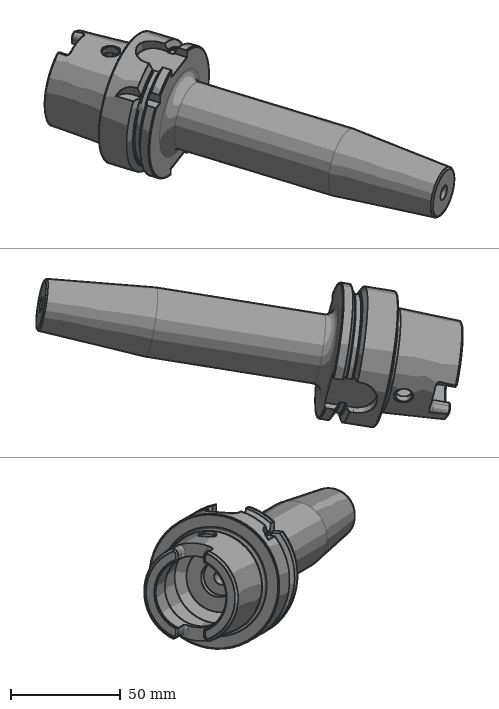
import cadquery as cq
import math

TOTAL_LENGTH = 192.0

TAPER_SLOPE = 0.05
GAUGE_X = 25.7
GAUGE_RADIUS = 24.0
TAPER_END_X = 29.5
TAPER_CHAMFER_LENGTH = 0.8
END_FACE_RADIUS = 21.5

RELIEF_RADIUS = 23.5
RELIEF_START_X = 30.7
RELIEF_DEPTH = 0.8
RELIEF_ARC_X = 31.5
RELIEF_ARC_END_RADIUS = 25.0
RELIEF_OUTER_RADIUS = 25.5

FLANGE_X = 32.0
FLANGE_END_X = 58.0
FLANGE_RADIUS = 31.5
FLANGE_CHAMFER = 0.48
GROOVE_CENTER_X = 50.0
GROOVE_WIDTH = 7.0
GROOVE_RADIUS = 27.5
GROOVE_FLANK_ANGLE = 30.0
GROOVE_FLOOR_WIDTH = 3.5
GROOVE_FILLET = 0.5

SHANK_RADIUS = 32.0 / 2
SHANK_FILLET = 5.0
NOSE_X = 141.1
NOSE_END_RADIUS = 24.0 / 2
NOSE_CHAMFER = 0.8

BORE_RADIUS = 34.0 / 2
BORE_CHAMFER = 0.5
UNDERCUT_X = 13.0
UNDERCUT_RADIUS = 40.0 / 2
UNDERCUT_ANGLE = 60.0
UNDERCUT_END_X = 35.0
FLOOR_RADIUS = 15.5
FLOOR_X = 38.4
RECESS_RADIUS = 16.9 / 2
RECESS_DEPTH = 3.8
COOLANT_RADIUS = 7.0 / 2

CROSS_HOLE_X = 23.0
CROSS_HOLE_RADIUS = 7.5 / 2
CROSS_HOLE_RIM_RADIUS = 8.8 / 2

KEYWAY_HALF_WIDTH = 6.1
KEYWAY_SHOULDER_Z = 21.1
KEYWAY_SHOULDER_RADIUS = 3.0
KEYWAY_FLOOR_FILLET = 1.5
KEYWAY_CHAMFER_WIDTH = 1.0
KEYWAY_CHAMFER_DEPTH = 0.5
TOP_KEYWAY_DEPTH = 6.1
BOTTOM_KEYWAY_DEPTH = 9.8

TOP_SLOT_WIDTH = 16.0
BOTTOM_SLOT_WIDTH = 18.0
SLOT_CENTER_X = 44.7
SLOT_FLOOR_Z = 26.5
NOTCH_WIDTH = 16.0
NOTCH_OFFSET = 20.0

CLEARANCE = 9.6


def taper_radius(x):
    return GAUGE_RADIUS + TAPER_SLOPE * (x - GAUGE_X)


def revolve(profile):
    return profile.close().revolve(360, (0, 0, 0), (1, 0, 0))


def outer_body():
    flank_run = (GROOVE_WIDTH - GROOVE_FLOOR_WIDTH) / 2
    flank_foot_radius = FLANGE_RADIUS - flank_run / math.tan(math.radians(GROOVE_FLANK_ANGLE))
    groove_start = GROOVE_CENTER_X - GROOVE_WIDTH / 2
    groove_end = GROOVE_CENTER_X + GROOVE_WIDTH / 2
    floor_start = groove_start + flank_run
    floor_end = groove_end - flank_run
    fillet_top_radius = GROOVE_RADIUS + GROOVE_FILLET
    fillet_shift = GROOVE_FILLET * (1 - math.sqrt(0.5))
    arc_shift = SHANK_FILLET * math.sqrt(0.5)
    fillet_center = (FLANGE_END_X + SHANK_FILLET, SHANK_RADIUS + SHANK_FILLET)
    nose_slope = (SHANK_RADIUS - NOSE_END_RADIUS) / (TOTAL_LENGTH - NOSE_X)
    profile = (
        cq.Workplane("XY")
        .moveTo(0, 0)
        .lineTo(0, END_FACE_RADIUS)
        .lineTo(TAPER_CHAMFER_LENGTH, taper_radius(TAPER_CHAMFER_LENGTH))
        .lineTo(TAPER_END_X, taper_radius(TAPER_END_X))
        .lineTo(RELIEF_START_X, RELIEF_RADIUS)
        .lineTo(RELIEF_ARC_X, RELIEF_RADIUS)
        .threePointArc(
            (FLANGE_X + RELIEF_DEPTH, (RELIEF_RADIUS + RELIEF_ARC_END_RADIUS) / 2),
            (FLANGE_X + RELIEF_DEPTH / 2, RELIEF_ARC_END_RADIUS),
        )
        .lineTo(FLANGE_X, RELIEF_OUTER_RADIUS)
        .lineTo(FLANGE_X, FLANGE_RADIUS - FLANGE_CHAMFER)
        .lineTo(FLANGE_X + FLANGE_CHAMFER, FLANGE_RADIUS)
        .lineTo(groove_start, FLANGE_RADIUS)
        .lineTo(floor_start, flank_foot_radius)
        .lineTo(floor_start, fillet_top_radius)
        .threePointArc(
            (floor_start + fillet_shift, GROOVE_RADIUS + fillet_shift),
            (floor_start + GROOVE_FILLET, GROOVE_RADIUS),
        )
        .lineTo(floor_end - GROOVE_FILLET, GROOVE_RADIUS)
        .threePointArc(
            (floor_end - fillet_shift, GROOVE_RADIUS + fillet_shift),
            (floor_end, fillet_top_radius),
        )
        .lineTo(floor_end, flank_foot_radius)
        .lineTo(groove_end, FLANGE_RADIUS)
        .lineTo(FLANGE_END_X - FLANGE_CHAMFER, FLANGE_RADIUS)
        .lineTo(FLANGE_END_X, FLANGE_RADIUS - FLANGE_CHAMFER)
        .lineTo(FLANGE_END_X, SHANK_RADIUS + SHANK_FILLET)
        .threePointArc(
            (fillet_center[0] - arc_shift, fillet_center[1] - arc_shift),
            (fillet_center[0], SHANK_RADIUS),
        )
        .lineTo(NOSE_X, SHANK_RADIUS)
        .lineTo(TOTAL_LENGTH - NOSE_CHAMFER, NOSE_END_RADIUS + nose_slope * NOSE_CHAMFER)
        .lineTo(TOTAL_LENGTH, NOSE_END_RADIUS - NOSE_CHAMFER)
        .lineTo(TOTAL_LENGTH, 0)
    )
    return revolve(profile)


def cavity():
    shoulder_run = (UNDERCUT_RADIUS - BORE_RADIUS) / math.tan(math.radians(UNDERCUT_ANGLE))
    profile = (
        cq.Workplane("XY")
        .moveTo(0, 0)
        .lineTo(0, BORE_RADIUS + BORE_CHAMFER)
        .lineTo(BORE_CHAMFER, BORE_RADIUS)
        .lineTo(UNDERCUT_X, BORE_RADIUS)
        .lineTo(UNDERCUT_X + shoulder_run, UNDERCUT_RADIUS)
        .lineTo(UNDERCUT_END_X, UNDERCUT_RADIUS)
        .lineTo(FLOOR_X, FLOOR_RADIUS)
        .lineTo(FLOOR_X, RECESS_RADIUS)
        .lineTo(FLOOR_X + RECESS_DEPTH, RECESS_RADIUS)
        .lineTo(FLOOR_X + RECESS_DEPTH, COOLANT_RADIUS)
        .lineTo(TOTAL_LENGTH, COOLANT_RADIUS)
        .lineTo(TOTAL_LENGTH, 0)
    )
    return revolve(profile)


def cross_hole():
    hole = (
        cq.Workplane("XY", origin=(CROSS_HOLE_X, 0, -FLANGE_RADIUS))
        .circle(CROSS_HOLE_RADIUS)
        .extrude(2 * FLANGE_RADIUS)
    )
    wall_radius = taper_radius(CROSS_HOLE_X)
    rim_depth = CROSS_HOLE_RIM_RADIUS - CROSS_HOLE_RADIUS
    countersink = cq.Workplane("XY").add(
        cq.Solid.makeCone(
            CROSS_HOLE_RADIUS,
            CROSS_HOLE_RIM_RADIUS + rim_depth,
            2 * rim_depth,
            pnt=cq.Vector(CROSS_HOLE_X, 0, wall_radius - rim_depth),
        )
    )
    return hole.union(countersink).union(countersink.mirror("XY"))


def keyway_outline():
    """Section of the +Z keyway, with rounded shoulders that run out through the outer surface."""
    w, z, r = KEYWAY_HALF_WIDTH, KEYWAY_SHOULDER_Z, KEYWAY_SHOULDER_RADIUS
    bend = r * (1 - math.sqrt(0.5))
    side = GAUGE_RADIUS
    top = FLANGE_RADIUS
    return (
        cq.Workplane("YZ")
        .moveTo(-w, 0)
        .lineTo(w, 0)
        .lineTo(w, z - r)
        .threePointArc((w + bend, z - bend), (w + r, z))
        .lineTo(side, z)
        .lineTo(side, top)
        .lineTo(-side, top)
        .lineTo(-side, z)
        .lineTo(-w - r, z)
        .threePointArc((-w - bend, z - bend), (-w, z - r))
        .close()
    )


def keyway(depth):
    """Keyway on the +Z side, filleted along its floor and chamfered at the end face."""
    slot = keyway_outline().extrude(depth).faces(">X").edges().fillet(KEYWAY_FLOOR_FILLET)
    flare_angle = math.degrees(math.atan(KEYWAY_CHAMFER_WIDTH / KEYWAY_CHAMFER_DEPTH))
    flare = (
        keyway_outline()
        .offset2D(KEYWAY_CHAMFER_WIDTH)
        .extrude(KEYWAY_CHAMFER_DEPTH, taper=flare_angle)
    )
    return slot.union(flare)


def flange_slot(width, center_y, floor_z):
    """Slot open toward +X and +Z with one round end."""
    run = FLANGE_END_X + CLEARANCE - SLOT_CENTER_X
    plane = cq.Workplane("XY", origin=(SLOT_CENTER_X, center_y, floor_z))
    straight = plane.center(run / 2, 0).rect(run, width).extrude(FLANGE_RADIUS)
    round_end = plane.circle(width / 2).extrude(FLANGE_RADIUS)
    return straight.union(round_end)


top_slot = flange_slot(TOP_SLOT_WIDTH, 0, SLOT_FLOOR_Z)
bottom_slot = flange_slot(BOTTOM_SLOT_WIDTH, 0, SLOT_FLOOR_Z).mirror("XY")
orientation_notch = flange_slot(NOTCH_WIDTH, -NOTCH_OFFSET - NOTCH_WIDTH / 2, NOTCH_OFFSET)

result = (
    outer_body()
    .cut(cavity())
    .cut(cross_hole())
    .cut(keyway(TOP_KEYWAY_DEPTH))
    .cut(keyway(BOTTOM_KEYWAY_DEPTH).mirror("XY"))
    .cut(top_slot)
    .cut(bottom_slot)
    .cut(orientation_notch)
)